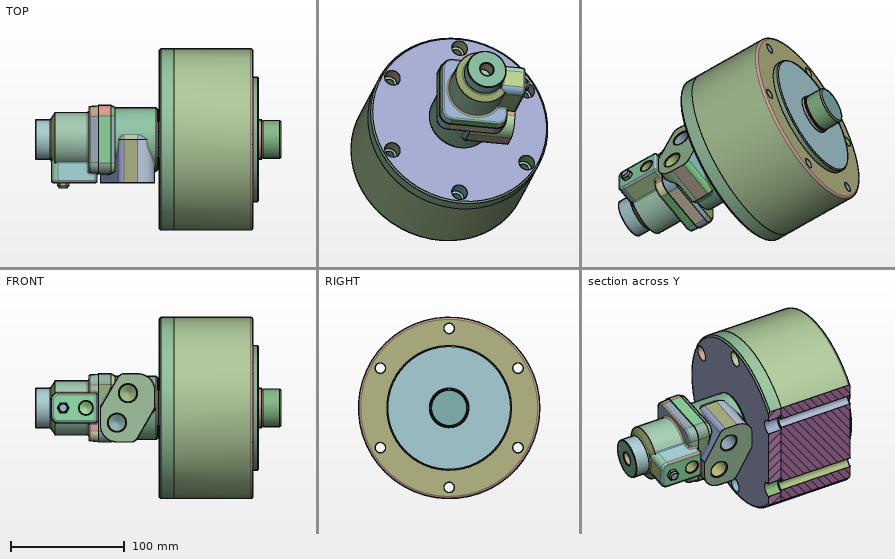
import cadquery as cq
import math


TOTAL_LENGTH = 216.5

CYLINDER_RADIUS = 80
COVER_THICKNESS = 13
CYLINDER_END = 82.5
COVER_CHAMFER = 1.5
BODY_EDGE_RADIUS = 2
SPIGOT_RADIUS = 55
SPIGOT_END = 87.5
SPIGOT_CHAMFER = 1
SPINDLE_RADIUS = 15.5

BOLT_COUNT = 6
BOLT_CIRCLE_RADIUS = 70
BOLT_HEAD_DIAMETER = 14
BOLT_HOLE_DIAMETER = 9

ROD_COLLAR_RADIUS = 17.5
ROD_COLLAR_END = 90
ROD_THREAD_RADIUS = 16.75
ROD_RELIEF_RADIUS = 16.25
ROD_THREAD_START = 91.3
ROD_END = 107.4
ROD_CHAMFER = 1.25

UNION_GAP = 1.2
HOUSING_END = -UNION_GAP
BARREL_RADIUS = 28
BARREL_CHAMFER = 1.5
FLANGE_JOINT = -53.4
FLANGE_HALF_WIDTH = 30.2
FLANGE_CORNER_RADIUS = 9.5
FLANGE_BACK = -42.6
FLANGE_SLOPE_LENGTH = 3.8
FLANGE_SLOPE_INSET = 2

PORT_FACE = -38.2
PORT_BLOCK_CENTRE = -27.9
PORT_BLOCK_HALF_LENGTH = 23.9
PORT_BLOCK_HALF_HEIGHT = FLANGE_HALF_WIDTH
PORT_BLOCK_SLANT = 60
PORT_BLOCK_LARGE_RADIUS = 15
PORT_BLOCK_SMALL_RADIUS = 6
PORT_BLOCK_BACK_DEPTH = 6
PORT_BLOCK_BACK_TAPER = 30
PORT_BLOCK_ROOT_RADIUS = 1
PORT_DIAMETER = 15.4
PORT_MOUTH_DIAMETER = 16.8
PORT_DEPTH = 15
PORT_OFFSETS = [(0.4, 13), (-9.3, -13)]

CAP_NOSE_START = ROD_END - TOTAL_LENGTH
CAP_NOSE_RADIUS = 17.5
CAP_NOSE_CHAMFER = 0.5
CAP_SHOULDER = -95
CAP_SHOULDER_RADIUS = 18.7
CAP_BARREL_START = -91.6
CAP_BARREL_RADIUS = 24
CAP_ROOT_RADIUS = 1.4
CAP_FLANGE_START = -62
CAP_FLANGE_HALF_WIDTH = 29.7
CAP_FLANGE_DRAFT = 4
CAP_FLANGE_EDGE_RADIUS = 1.4
CAP_PORT_DIAMETER = 11.8
CAP_PORT_MOUTH_DIAMETER = 13
CAP_PORT_DEPTH = 14
DRAIN_BLOCK_START = CAP_SHOULDER
DRAIN_BLOCK_END = -54.6
DRAIN_BLOCK_HALF_HEIGHT = 13.3
DRAIN_BLOCK_CORNER_RADIUS = 6
DRAIN_BLOCK_EDGE_RADIUS = 2
DRAIN_BLOCK_ROOT_RADIUS = 1.4
DRAIN_PORT_X = -64.6

DRILL_POINT_ANGLE = 118
CONTACT_TOLERANCE = 0.001

SCREW_X = -84.6
SCREW_ACROSS_FLATS = 9
SCREW_HEX_HEIGHT = 2.7
SCREW_TIP_HEIGHT = 2
SCREW_TIP_BASE_DIAMETER = 8.6
SCREW_TIP_DIAMETER = 7


def turned(points):
    """Revolve a closed (x, radius) outline about the X axis."""
    return cq.Workplane("XY").polyline(points).close().revolve(360, (0, 0, 0), (1, 0, 0))


def drilled_hole(diameter, mouth_diameter, depth, mouth, direction):
    """Return a blind round hole with a 45 degree countersunk mouth and a drill point."""
    radius = diameter / 2
    mouth_radius = mouth_diameter / 2
    point_depth = radius / math.tan(math.radians(DRILL_POINT_ANGLE / 2))
    bore = cq.Solid.makeCylinder(radius, depth, mouth, direction)
    point_start = mouth + direction * depth
    point = cq.Solid.makeCone(radius, 0, point_depth, point_start, direction)
    countersink = cq.Solid.makeCone(mouth_radius, radius, mouth_radius - radius, mouth, direction)
    return cq.Workplane(bore.fuse(point, countersink))


def blend(joined, first, second, radius):
    """Fillet the edges of a joined body along which its two parts meet."""
    seam = []
    for edge in joined.edges().vals():
        middle = cq.Vertex.makeVertex(*edge.positionAt(0.5).toTuple())
        if max(middle.distance(first.val()), middle.distance(second.val())) < CONTACT_TOLERANCE:
            seam.append(edge)
    return joined.newObject(seam).fillet(radius)


def bolt_holes(diameter, start, end):
    """Return the ring of bolt holes between two X positions, one of them straight above the axis."""
    return (
        cq.Workplane("YZ", origin=(start, 0, 0))
        .polarArray(BOLT_CIRCLE_RADIUS, 90, 360, BOLT_COUNT)
        .circle(diameter / 2)
        .extrude(end - start)
    )


def make_cover():
    """Disc with bolt-head holes, carrying the short spindle that meets the union."""
    disc = turned([
        (0, 0),
        (0, CYLINDER_RADIUS - COVER_CHAMFER),
        (COVER_CHAMFER, CYLINDER_RADIUS),
        (COVER_THICKNESS, CYLINDER_RADIUS),
        (COVER_THICKNESS, 0),
    ])
    spindle = cq.Workplane("YZ", origin=(-UNION_GAP, 0, 0)).circle(SPINDLE_RADIUS).extrude(UNION_GAP)
    return disc.union(spindle).cut(bolt_holes(BOLT_HEAD_DIAMETER, 0, COVER_THICKNESS))


def make_cylinder_body():
    """Cylinder drum with a locating spigot and through holes for the bolts."""
    drum = (
        cq.Workplane("YZ", origin=(COVER_THICKNESS, 0, 0))
        .circle(CYLINDER_RADIUS)
        .extrude(CYLINDER_END - COVER_THICKNESS)
        .faces(">X").edges().fillet(BODY_EDGE_RADIUS)
    )
    spigot = (
        cq.Workplane("YZ", origin=(CYLINDER_END, 0, 0))
        .circle(SPIGOT_RADIUS)
        .extrude(SPIGOT_END - CYLINDER_END)
        .faces(">X").edges().chamfer(SPIGOT_CHAMFER)
    )
    return drum.union(spigot).cut(bolt_holes(BOLT_HOLE_DIAMETER, COVER_THICKNESS, CYLINDER_END))


def make_piston_rod():
    """Rod end: plain collar, short relief and chamfered thread."""
    return turned([
        (SPIGOT_END, 0),
        (SPIGOT_END, ROD_COLLAR_RADIUS),
        (ROD_COLLAR_END, ROD_COLLAR_RADIUS),
        (ROD_COLLAR_END, ROD_RELIEF_RADIUS),
        (ROD_THREAD_START, ROD_RELIEF_RADIUS),
        (ROD_THREAD_START, ROD_THREAD_RADIUS),
        (ROD_END - ROD_CHAMFER, ROD_THREAD_RADIUS),
        (ROD_END, ROD_THREAD_RADIUS - ROD_CHAMFER),
        (ROD_END, 0),
    ])


def flange_block(half_width, joint, length, draft=0):
    """Square flange with rounded corners, reaching from the joint by a signed length along X."""
    return (
        cq.Workplane("YZ", origin=(joint, 0, 0))
        .sketch()
        .rect(2 * half_width, 2 * half_width)
        .vertices()
        .fillet(FLANGE_CORNER_RADIUS)
        .finalize()
        .extrude(length, taper=draft)
    )


def port_block_outline(workplane):
    """Parallelogram with vertical and level corners cut back, the same after a half turn."""
    slant = math.radians(PORT_BLOCK_SLANT)
    half_length = PORT_BLOCK_HALF_LENGTH
    half_height = PORT_BLOCK_HALF_HEIGHT
    large = PORT_BLOCK_LARGE_RADIUS
    small = PORT_BLOCK_SMALL_RADIUS
    large_mid = large * (1 - math.sqrt(0.5))

    corner_x = -half_length + half_height / math.tan(slant)
    small_tangent = small * math.tan(slant / 2)
    slant_end = (
        corner_x - small_tangent * math.cos(slant),
        half_height - small_tangent * math.sin(slant),
    )
    level_start = (corner_x + small_tangent, half_height)
    small_mid = (
        level_start[0] - small * math.sin(slant / 2),
        half_height - small * (1 - math.cos(slant / 2)),
    )

    outline = workplane.moveTo(-half_length, 0)
    for turn in (1, -1):
        outline = (
            outline
            .lineTo(turn * slant_end[0], turn * slant_end[1])
            .threePointArc(
                (turn * small_mid[0], turn * small_mid[1]),
                (turn * level_start[0], turn * level_start[1]),
            )
            .lineTo(turn * (half_length - large), turn * half_height)
            .threePointArc(
                (turn * (half_length - large_mid), turn * (half_height - large_mid)),
                (turn * half_length, turn * (half_height - large)),
            )
            .lineTo(turn * half_length, 0)
        )
    return outline.close()


def make_port_block():
    """Block carrying the two pressure ports, tapering into the barrel at its back."""
    block_plane = cq.Workplane("XZ", origin=(PORT_BLOCK_CENTRE, 0, 0))
    block = port_block_outline(block_plane).extrude(-PORT_FACE)
    back = port_block_outline(block_plane).extrude(-PORT_BLOCK_BACK_DEPTH, taper=PORT_BLOCK_BACK_TAPER)
    return block.union(back)


def make_union_housing():
    """Barrel with a sloped-back square flange and the port block."""
    barrel = (
        cq.Workplane("YZ", origin=(FLANGE_JOINT, 0, 0))
        .circle(BARREL_RADIUS)
        .extrude(HOUSING_END - FLANGE_JOINT)
        .faces(">X").edges().chamfer(BARREL_CHAMFER)
    )
    slope_angle = math.degrees(math.atan(FLANGE_SLOPE_INSET / FLANGE_SLOPE_LENGTH))
    flange = flange_block(FLANGE_HALF_WIDTH, FLANGE_JOINT, FLANGE_BACK - FLANGE_JOINT)
    flange_slope = flange_block(FLANGE_HALF_WIDTH, FLANGE_BACK, FLANGE_SLOPE_LENGTH, slope_angle)
    port_block = make_port_block()
    housing = blend(barrel.union(port_block), barrel, port_block, PORT_BLOCK_ROOT_RADIUS)
    housing = housing.union(flange).union(flange_slope)

    block_side_x = PORT_BLOCK_CENTRE - PORT_BLOCK_HALF_LENGTH
    corner_run = FLANGE_BACK - block_side_x
    corner_middle = (
        block_side_x + corner_run / 2,
        -FLANGE_HALF_WIDTH,
        corner_run / 2 * math.tan(math.radians(PORT_BLOCK_SLANT)),
    )
    housing = housing.edges(cq.selectors.NearestToPointSelector(corner_middle)).fillet(PORT_BLOCK_ROOT_RADIUS)

    for offset_x, offset_z in PORT_OFFSETS:
        mouth = cq.Vector(PORT_BLOCK_CENTRE + offset_x, PORT_FACE, offset_z)
        port_hole = drilled_hole(PORT_DIAMETER, PORT_MOUTH_DIAMETER, PORT_DEPTH, mouth, cq.Vector(0, 1, 0))
        housing = housing.cut(port_hole)
    return housing


def make_drain_block():
    """Block on the -Y side of the cap, rounded at its outer end and around its face."""
    length = DRAIN_BLOCK_END - DRAIN_BLOCK_START
    return (
        cq.Workplane("XZ")
        .center((DRAIN_BLOCK_START + DRAIN_BLOCK_END) / 2, 0)
        .rect(length, 2 * DRAIN_BLOCK_HALF_HEIGHT)
        .extrude(-PORT_FACE)
        .edges("|Y and <X").fillet(DRAIN_BLOCK_CORNER_RADIUS)
        .edges("|Y and >X").fillet(DRAIN_BLOCK_EDGE_RADIUS)
        .faces("<Y").edges().fillet(DRAIN_BLOCK_EDGE_RADIUS)
    )


def make_union_cap():
    """Stepped nose and barrel on a square flange, with an axial port and a drain block."""
    nose = turned([
        (CAP_NOSE_START, 0),
        (CAP_NOSE_START, CAP_NOSE_RADIUS - CAP_NOSE_CHAMFER),
        (CAP_NOSE_START + CAP_NOSE_CHAMFER, CAP_NOSE_RADIUS),
        (CAP_SHOULDER - CAP_ROOT_RADIUS, CAP_NOSE_RADIUS),
        (CAP_SHOULDER, CAP_SHOULDER_RADIUS),
        (CAP_BARREL_START, CAP_BARREL_RADIUS),
        (FLANGE_JOINT, CAP_BARREL_RADIUS),
        (FLANGE_JOINT, 0),
    ])
    flange = (
        flange_block(CAP_FLANGE_HALF_WIDTH, FLANGE_JOINT, CAP_FLANGE_START - FLANGE_JOINT, CAP_FLANGE_DRAFT)
        .faces("<X").edges().fillet(CAP_FLANGE_EDGE_RADIUS)
    )
    body = blend(nose.union(flange), nose, flange, CAP_ROOT_RADIUS)
    drain_block = make_drain_block()
    cap = blend(body.union(drain_block), body, drain_block, DRAIN_BLOCK_ROOT_RADIUS)
    ports = [
        (cq.Vector(CAP_NOSE_START, 0, 0), cq.Vector(1, 0, 0)),
        (cq.Vector(DRAIN_PORT_X, PORT_FACE, 0), cq.Vector(0, 1, 0)),
    ]
    for mouth, direction in ports:
        port_hole = drilled_hole(CAP_PORT_DIAMETER, CAP_PORT_MOUTH_DIAMETER, CAP_PORT_DEPTH, mouth, direction)
        cap = cap.cut(port_hole)
    return cap


def make_bleed_screw():
    """Hexagon head with a tapered tip, seated on the drain block's face."""
    across_corners = SCREW_ACROSS_FLATS / math.cos(math.pi / 6)
    head = (
        cq.Workplane("XZ", origin=(SCREW_X, PORT_FACE, 0))
        .polygon(6, across_corners)
        .extrude(SCREW_HEX_HEIGHT)
    )
    tip = cq.Solid.makeCone(
        SCREW_TIP_BASE_DIAMETER / 2,
        SCREW_TIP_DIAMETER / 2,
        SCREW_TIP_HEIGHT,
        cq.Vector(SCREW_X, PORT_FACE - SCREW_HEX_HEIGHT, 0),
        cq.Vector(0, -1, 0),
    )
    return head.union(cq.Workplane(tip))


cover = make_cover()
cylinder_body = make_cylinder_body()
piston_rod = make_piston_rod()
union_housing = make_union_housing()
union_cap = make_union_cap()
bleed_screw = make_bleed_screw()

result = cq.Compound.makeCompound([
    cover.val(),
    cylinder_body.val(),
    piston_rod.val(),
    union_housing.val(),
    union_cap.val(),
    bleed_screw.val(),
])